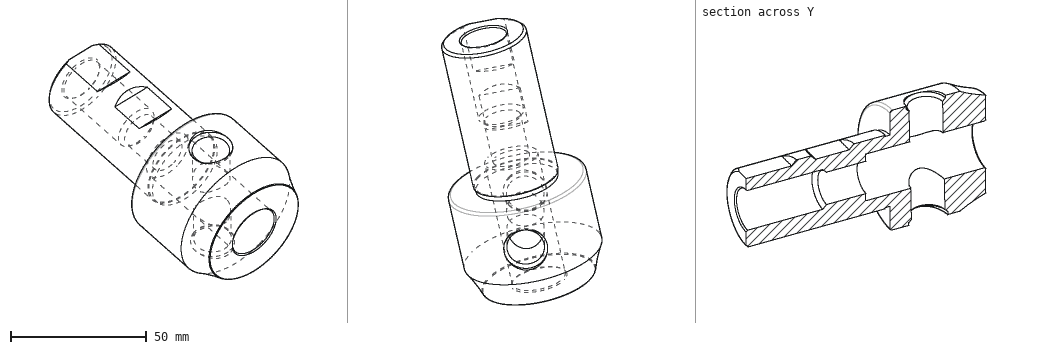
import cadquery as cq
import math

total_length = 100.0
head_start = 60.0
neck_length = 2.0
nose_length = 10.8

shank_diameter = 32.0
neck_diameter = 31.0
head_diameter = 52.0
nose_diameter = 42.8
nose_sag = 0.3
shank_chamfer = 1.0
head_fillet = 1.0
nose_edge_chamfer = 0.3

through_diameter = 13.8
rear_diameter = 17.0
rear_depth = 32.0
rear_cone_length = 1.6
rear_chamfer = 0.6
tool_diameter = 20.0
tool_depth = 50.0
tool_mouth_diameter = 21.0

flat_height = 14.0
flat_depth = shank_diameter / 2 - flat_height
rear_flat_end = 19.0
front_flat_start = 29.0
front_flat_end = 43.0

screw_x = 75.5
screw_diameter = 13.8
screw_mouth_diameter = 16.2
screw_tilt = 1.2


def make_body():
    shank_radius = shank_diameter / 2
    neck_radius = neck_diameter / 2
    head_radius = head_diameter / 2
    nose_radius = nose_diameter / 2
    neck_start = head_start - neck_length
    nose_start = total_length - nose_length
    nose_end = total_length - nose_edge_chamfer

    drop = head_radius - nose_radius
    run = nose_end - nose_start
    chord = math.hypot(run, drop)
    arc_middle = (
        (nose_start + nose_end) / 2 - nose_sag * drop / chord,
        (head_radius + nose_radius) / 2 - nose_sag * run / chord,
    )
    return (
        cq.Workplane("XY")
        .lineTo(0, shank_radius - shank_chamfer)
        .lineTo(shank_chamfer, shank_radius)
        .lineTo(neck_start, shank_radius)
        .lineTo(neck_start, neck_radius)
        .lineTo(head_start, neck_radius)
        .lineTo(head_start, head_radius - head_fillet)
        .tangentArcPoint((head_start + head_fillet, head_radius), relative=False)
        .lineTo(nose_start, head_radius)
        .threePointArc(arc_middle, (nose_end, nose_radius))
        .lineTo(total_length, nose_radius - nose_edge_chamfer)
        .lineTo(total_length, 0)
        .close()
        .revolve(360, (0, 0, 0), (1, 0, 0))
    )


def make_bore():
    through_radius = through_diameter / 2
    rear_radius = rear_diameter / 2
    tool_radius = tool_diameter / 2
    mouth_radius = tool_mouth_diameter / 2
    tool_start = total_length - tool_depth
    mouth_chamfer = mouth_radius - tool_radius
    return (
        cq.Workplane("XY")
        .lineTo(0, rear_radius + rear_chamfer)
        .lineTo(rear_chamfer, rear_radius)
        .lineTo(rear_depth, rear_radius)
        .lineTo(rear_depth + rear_cone_length, through_radius)
        .lineTo(tool_start, through_radius)
        .lineTo(tool_start, tool_radius)
        .lineTo(total_length - mouth_chamfer, tool_radius)
        .lineTo(total_length, mouth_radius)
        .lineTo(total_length, 0)
        .close()
        .revolve(360, (0, 0, 0), (1, 0, 0))
    )


def make_flat(start, end, start_slope, end_slope):
    """Cutter over the shank; each slope is the X run of that end's ramp."""
    top = shank_diameter / 2
    return (
        cq.Workplane("XZ")
        .polyline([
            (start, flat_height),
            (end, flat_height),
            (end + end_slope, top),
            (start - start_slope, top),
        ])
        .close()
        .extrude(shank_diameter / 2, both=True)
    )


def make_screw_hole():
    """Cutter with conical mouths opening where it meets the head surface."""
    radius = screw_diameter / 2
    mouth_radius = screw_mouth_diameter / 2
    mouth_height = math.sqrt((head_diameter / 2) ** 2 - mouth_radius ** 2)
    cone_start = mouth_height - (mouth_radius - radius)
    reach = head_diameter / 2 + 1
    return (
        cq.Workplane("XZ")
        .moveTo(0, -reach)
        .lineTo(mouth_radius, -reach)
        .lineTo(mouth_radius, -mouth_height)
        .lineTo(radius, -cone_start)
        .lineTo(radius, cone_start)
        .lineTo(mouth_radius, mouth_height)
        .lineTo(mouth_radius, reach)
        .lineTo(0, reach)
        .close()
        .revolve(360, (0, 0, 0), (0, 1, 0))
        .rotate((0, 0, 0), (0, 1, 0), -screw_tilt)
        .translate((screw_x, 0, 0))
    )


result = (
    make_body()
    .cut(make_bore())
    .cut(make_flat(0, rear_flat_end, 0, flat_depth))
    .cut(make_flat(front_flat_start, front_flat_end, flat_depth, flat_depth))
    .cut(make_screw_hole())
)